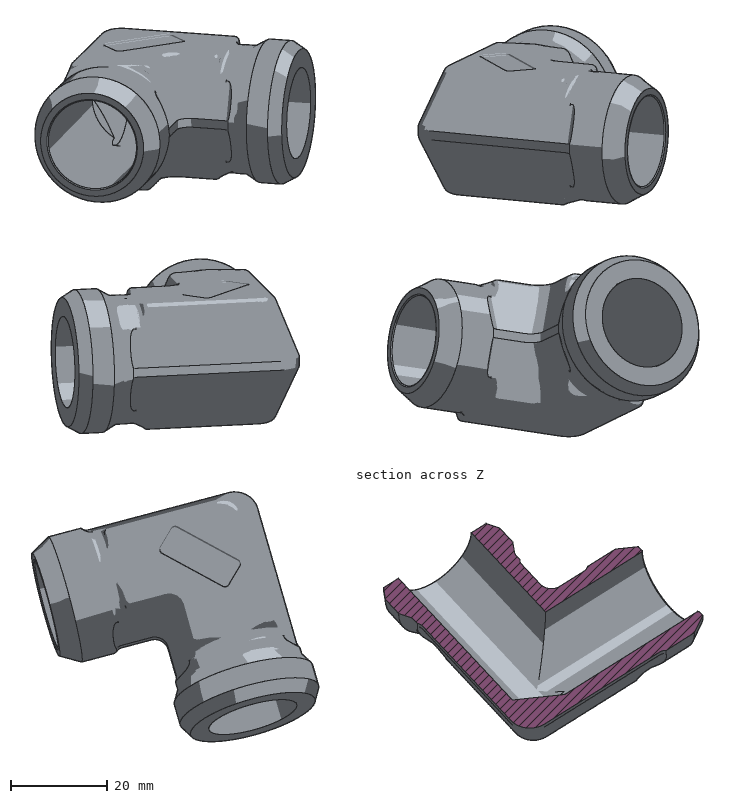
import cadquery as cq
import math

body_half_height = 13.5
body_half_width = 13.0
ridge_half_height = 0.95
flank_angle = math.radians(20)
flank_height = body_half_height - ridge_half_height
flank_run = flank_height * math.tan(flank_angle)
top_half_width = body_half_width - flank_run
flank_distance = body_half_width * math.cos(flank_angle) + ridge_half_height * math.sin(flank_angle)
arm_end = 22.15
outer_corner_radius = 5.0
inner_corner_radius = 2.9
top_edge_radius = 2.0

neck_radius = 13.4
shoulder_face = 20.1
shoulder_radius = 1.0
collar_blend_radius = 2.0

port_length = 35.0
cone_slope = math.tan(math.radians(30))
collar_x_radius = 13.45
head_radius = 15.0
head_bevel_start = 32.35
head_cone_start = 25.1
head_root_radius = 1.25
collar_y_radius = 13.5
weld_face_radius = 11.1

bore_radius = 9.5
bore_x_overrun = 4.0
bore_y_overrun = 0.0
drill_half_angle = math.radians(60)
bore_chamfer = 0.25

label_length = 16.8
label_width = 6.95
label_corner_radius = 1.15
label_depth = 0.5
label_edge_round = 0.225
label_offset = 2.35
label_direction = 45.0

tolerance = 0.025


def to_y_port(shape):
    """Turn a shape made along +X so that it lies along -Y."""
    return shape.rotate((0, 0, 0), (0, 0, 1), -90)


def from_y_port(shape):
    """Turn the -Y side of a shape round to +X."""
    return shape.rotate((0, 0, 0), (0, 0, 1), 90)


def revolve_about_x(profile):
    return profile.close().revolve(360, (0, 0, 0), (1, 0, 0))


def inner_corner_fill():
    """Concave rounding between the two arms, leaning with the flanks."""
    start = body_half_width + inner_corner_radius
    root = body_half_width - inner_corner_radius
    plan = (
        cq.Workplane("XY", origin=(0, 0, ridge_half_height))
        .moveTo(body_half_width, -start)
        .radiusArc((start, -body_half_width), inner_corner_radius)
        .lineTo(start, -root)
        .lineTo(root, -root)
        .lineTo(root, -start)
        .close()
    )
    lean = cq.Vector(-flank_run, flank_run, flank_height)
    upper = cq.Workplane(cq.Solid.extrudeLinear(plan.val(), [], lean))
    middle = plan.extrude(-2 * ridge_half_height)
    return middle.union(upper).union(upper.mirror("XY"))


def elbow_body():
    right_side = [
        (top_half_width, body_half_height),
        (body_half_width, ridge_half_height),
        (body_half_width, -ridge_half_height),
        (top_half_width, -body_half_height),
    ]
    left_side = [(-y, -z) for y, z in right_side]
    section = cq.Workplane("YZ", origin=(arm_end, 0, 0)).polyline(right_side + left_side).close()
    path = cq.Workplane("XY").polyline([(arm_end, 0), (0, 0), (0, -arm_end)])
    body = section.sweep(path, transition="right")

    outer_corner = cq.selectors.BoxSelector(
        (-body_half_width - 0.5, top_half_width - 0.5, -body_half_height - 0.5),
        (-top_half_width + 0.5, body_half_width + 0.5, body_half_height + 0.5),
    )
    body = body.edges(outer_corner).fillet(outer_corner_radius)
    body = body.union(inner_corner_fill()).clean()

    not_arm_ends = cq.selectors.BoxSelector(
        (-body_half_width, 0.5 - arm_end, -body_half_height - 0.5),
        (arm_end - 0.5, body_half_width, body_half_height + 0.5),
    )
    return body.faces("<Z or >Z").edges(not_arm_ends).fillet(top_edge_radius)


def trim_shoulder(body):
    """Trim the corners of the +X arm down to its neck and round the edge left behind."""
    clear_radius = 2 * body_half_width
    foot = shoulder_face + shoulder_radius
    groove_radius = neck_radius + shoulder_radius
    cutter = revolve_about_x(
        cq.Workplane("XY")
        .moveTo(arm_end, neck_radius)
        .lineTo(foot, neck_radius)
        .radiusArc((shoulder_face, groove_radius), shoulder_radius)
        .lineTo(shoulder_face, clear_radius)
        .lineTo(arm_end, clear_radius)
    )
    body = body.cut(cutter)

    def is_outer_edge(edge):
        bounds = edge.BoundingBox()
        on_shoulder = bounds.xmin > shoulder_face - tolerance and bounds.xmax < foot + tolerance
        at_neck = bounds.xmin > foot - tolerance
        in_groove = edge.geomType() == "CIRCLE" and abs(edge.radius() - groove_radius) < tolerance
        return on_shoulder and not at_neck and not in_groove

    outer_edges = [edge for edge in body.edges().vals() if is_outer_edge(edge)]
    return body.newObject(outer_edges).fillet(shoulder_radius)


def blend_profile(distance):
    """Section between a body face at this distance from the axis and its flare."""
    outer = distance + collar_blend_radius
    return (
        cq.Workplane("XY")
        .moveTo(arm_end, distance)
        .radiusArc((arm_end + collar_blend_radius, outer), -collar_blend_radius)
        .lineTo(arm_end, outer)
    )


def flare_collar(collar):
    """Blend the start of a collar into the neck and the body sides."""
    collar = collar.cut(revolve_about_x(blend_profile(neck_radius)))
    lean = math.degrees(flank_angle)
    for side in (0, 180):
        for turn, distance in ((-lean, flank_distance), (0, body_half_width), (lean, flank_distance)):
            cutter = blend_profile(distance).close().extrude(body_half_width, both=True)
            collar = collar.cut(cutter.rotate((0, 0, 0), (1, 0, 0), side + turn))
    return collar


def head_port():
    """Collar and double-bevelled head on the +X port."""
    head_cone_end = head_cone_start + (head_radius - collar_x_radius) / cone_slope
    face_radius = head_radius - (port_length - head_bevel_start) * cone_slope
    port = revolve_about_x(
        cq.Workplane("XY")
        .moveTo(arm_end, 0)
        .lineTo(arm_end, collar_x_radius)
        .lineTo(head_cone_start, collar_x_radius)
        .lineTo(head_cone_end, head_radius)
        .lineTo(head_bevel_start, head_radius)
        .lineTo(port_length, face_radius)
        .lineTo(port_length, 0)
    )
    root = cq.selectors.BoxSelector(
        (head_cone_start - 0.5, -head_radius, -head_radius),
        (head_cone_start + 0.5, head_radius, head_radius),
    )
    return flare_collar(port.edges(root).fillet(head_root_radius))


def weld_port():
    """Plain collar with a weld bevel on the -Y port."""
    bevel_start = port_length - (collar_y_radius - weld_face_radius) / cone_slope
    port = revolve_about_x(
        cq.Workplane("XY")
        .moveTo(arm_end, 0)
        .lineTo(arm_end, collar_y_radius)
        .lineTo(bevel_start, collar_y_radius)
        .lineTo(port_length, weld_face_radius)
        .lineTo(port_length, 0)
    )
    return to_y_port(flare_collar(port))


def bore(overrun):
    drill_tip = overrun + bore_radius / math.tan(drill_half_angle)
    return revolve_about_x(
        cq.Workplane("XY")
        .moveTo(-drill_tip, 0)
        .lineTo(-overrun, bore_radius)
        .lineTo(port_length, bore_radius)
        .lineTo(port_length, 0)
    )


def weld_bore():
    """Bore of the -Y port with a small chamfer at its mouth."""
    mouth = revolve_about_x(
        cq.Workplane("XY")
        .moveTo(port_length - bore_chamfer, 0)
        .lineTo(port_length - bore_chamfer, bore_radius)
        .lineTo(port_length, bore_radius + bore_chamfer)
        .lineTo(port_length, 0)
    )
    return to_y_port(bore(bore_y_overrun).union(mouth))


def cut_label_recess(body):
    """Cut the label tray, then round its floor and rim."""
    floor_length = label_length - 2 * label_edge_round
    floor_width = label_width - 2 * label_edge_round
    tray = (
        cq.Workplane("XY", origin=(label_offset, -label_offset, body_half_height - label_depth))
        .transformed(rotate=(0, 0, label_direction))
        .rect(floor_length, floor_width)
        .extrude(label_depth)
        .edges("|Z")
        .fillet(label_corner_radius - label_edge_round)
        .faces("<Z")
        .edges()
        .fillet(label_edge_round)
    )
    body = body.cut(tray)
    reach = label_length / 2
    rim = cq.selectors.BoxSelector(
        (label_offset - reach, -label_offset - reach, body_half_height - tolerance),
        (label_offset + reach, -label_offset + reach, body_half_height + tolerance),
        boundingbox=True,
    )
    return body.edges(rim).fillet(label_edge_round)


body = elbow_body()
body = trim_shoulder(body)
body = to_y_port(trim_shoulder(from_y_port(body)))
body = body.union(head_port()).union(weld_port())
body = body.cut(bore(bore_x_overrun)).cut(weld_bore())
result = cut_label_recess(body)